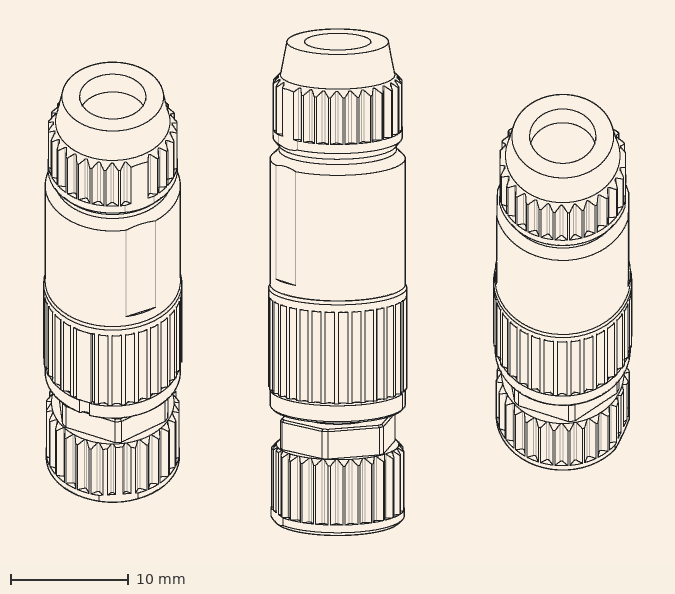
import cadquery as cq
import math

total_height = 42.0
nut_collar_top = 1.0
nut_shoulder = 6.65
nut_top = 9.2
insert_bottom = 9.95
ring_bottom = 11.7
ring_knurl_top = 19.75
ring_top = 20.7
housing_flat_bottom = 21.75
housing_shoulder = 31.75
housing_neck_base = 32.5
cap_bottom = 32.95
cap_collar_bottom = 33.6
cap_knurl_bottom = 34.4
cap_chamfer_bottom = 38.47
cap_shoulder = 39.1

v_groove_count = 28
v_groove_pitch = 360 / v_groove_count
v_groove_depth = 0.55
v_groove_root_fillet = 0.15
tooth_land = 0.13
main_flat_angle = 140.0

nut_radius = 5.65
nut_bottom_chamfer = 0.35
nut_top_chamfer = 0.45
nut_flat_offset = 5.4
nut_flat_angle = 120.0
hex_apothem = 4.5
hex_corner_radius = 5.05
hex_chamfer = 0.15

insert_radius = 5.75
insert_neck_radius = 3.1
insert_bottom_chamfer = 0.15
insert_top_chamfer = 0.2
key_groove_radius = 0.45

ring_radius = 5.9
ring_chamfer = 0.3
ring_groove_count = 32
ring_groove_pitch = 360 / ring_groove_count
ring_groove_radius = 0.45
ring_groove_depth = 0.25
ring_rib_width = 1.4
ring_rib_depth = 0.4

housing_radius = 5.75
housing_neck_radius = 5.0
housing_flat_offset = 5.6

cap_radius = 5.5
cap_base_radius = 5.0
cap_flat_offset = 5.35
cone_base_radius = 4.87
cone_top_radius = 4.33
bore_radius = 2.8
bore_depth = 2.05


def revolved(profile):
    """Solid of revolution about Z from (radius, z) points."""
    return cq.Workplane("XZ").polyline(profile).close().revolve(360, (0, 0, 0), (0, 1, 0))


def opposite_flats(offset, first_angle, bottom, top):
    """Cutter for two parallel flats, each at the given distance from the axis."""
    size = 2 * ring_radius
    block = cq.Workplane("XY").box(size, size, top - bottom, centered=(False, True, False))
    block = block.translate((offset, 0, bottom))
    cutter = cq.Workplane("XY")
    for angle in (first_angle, first_angle + 180):
        cutter = cutter.add(block.rotate((0, 0, 0), (0, 0, 1), angle))
    return cutter.combine()


def cut_v_grooves(body, radius, bottom, top, skipped=()):
    """Cut V-grooves with rounded roots, leaving teeth with narrow lands."""
    root = radius - v_groove_depth
    outer = radius + v_groove_depth
    half_width = 2 * math.pi * radius / v_groove_count - tooth_land
    groove = (
        cq.Workplane("XY").workplane(offset=bottom)
        .polyline([(root, 0), (outer, half_width), (outer, -half_width)]).close()
        .extrude(top - bottom)
        .edges("|Z").edges("<X").fillet(v_groove_root_fillet)
    )
    for i in range(v_groove_count):
        if i not in skipped:
            angle = main_flat_angle + i * v_groove_pitch
            body = body.cut(groove.rotate((0, 0, 0), (0, 0, 1), angle))
    return body


def make_nut():
    """Nut with a knurled skirt and a hexagon on top."""
    skirt = revolved([
        (0, 0),
        (nut_radius - nut_bottom_chamfer, 0),
        (nut_radius, nut_bottom_chamfer),
        (nut_radius, nut_shoulder - nut_top_chamfer),
        (nut_radius - nut_top_chamfer, nut_shoulder),
        (0, nut_shoulder),
    ])
    skirt = cut_v_grooves(skirt, nut_radius, nut_collar_top, nut_shoulder)
    skirt = skirt.cut(opposite_flats(nut_flat_offset, nut_flat_angle, 0, nut_shoulder))
    hex_height = nut_top - nut_shoulder
    across_corners = 2 * hex_apothem / math.cos(math.pi / 6)
    hexagon = cq.Workplane("XY").workplane(offset=nut_shoulder).polygon(6, across_corners).extrude(hex_height)
    corner_limit = cq.Workplane("XY").workplane(offset=nut_shoulder).circle(hex_corner_radius).extrude(hex_height)
    hexagon = hexagon.intersect(corner_limit).faces(">Z").chamfer(hex_chamfer)
    return skirt.union(hexagon)


def make_insert():
    """Flange standing on a neck, with a round keyway on the -Y side."""
    insert = revolved([
        (0, nut_top),
        (insert_neck_radius, nut_top),
        (insert_neck_radius, insert_bottom),
        (insert_radius - insert_bottom_chamfer, insert_bottom),
        (insert_radius, insert_bottom + insert_bottom_chamfer),
        (insert_radius, ring_bottom - insert_top_chamfer),
        (insert_radius - insert_top_chamfer, ring_bottom),
        (0, ring_bottom),
    ])
    keyway = (
        cq.Workplane("XY").workplane(offset=insert_bottom).center(0, -insert_radius)
        .circle(key_groove_radius).extrude(ring_bottom - insert_bottom)
    )
    return insert.cut(keyway)


def make_ring():
    """Coupling ring with round grip grooves and one flat rib on the -Y side."""
    ring = revolved([
        (0, ring_bottom),
        (ring_radius, ring_bottom),
        (ring_radius, ring_top - ring_chamfer),
        (ring_radius - ring_chamfer, ring_top),
        (0, ring_top),
    ])
    knurl_height = ring_knurl_top - ring_bottom
    groove_center = ring_radius - ring_groove_depth + ring_groove_radius
    grooves = (
        cq.Workplane("XY").workplane(offset=ring_bottom)
        .polarArray(groove_center, ring_groove_pitch / 2, 360, ring_groove_count)
        .circle(ring_groove_radius).extrude(knurl_height)
    )
    rib = (
        cq.Workplane("XY")
        .box(ring_rib_width, ring_rib_depth, knurl_height, centered=(True, False, False))
        .translate((0, -ring_radius, ring_bottom))
    )
    return ring.cut(grooves).union(rib)


def make_housing():
    """Cylindrical housing with a neck and two opposite flats."""
    housing = revolved([
        (0, ring_top),
        (housing_radius, ring_top),
        (housing_radius, housing_shoulder),
        (housing_neck_radius, housing_neck_base),
        (housing_neck_radius, cap_bottom),
        (0, cap_bottom),
    ])
    flats = opposite_flats(housing_flat_offset, main_flat_angle, housing_flat_bottom, cap_bottom)
    return housing.cut(flats)


def make_cap():
    """Knurled cable cap with a tapered end and a blind bore."""
    cap = revolved([
        (0, cap_bottom),
        (cap_base_radius, cap_bottom),
        (cap_radius, cap_collar_bottom),
        (cap_radius, cap_chamfer_bottom),
        (cone_base_radius, cap_shoulder),
        (cone_top_radius, total_height),
        (0, total_height),
    ])
    cap = cap.faces(">Z").workplane().circle(bore_radius).cutBlind(-bore_depth)
    on_flats = (0, v_groove_count // 2)
    cap = cut_v_grooves(cap, cap_radius, cap_knurl_bottom, cap_shoulder, on_flats)
    return cap.cut(opposite_flats(cap_flat_offset, main_flat_angle, cap_bottom, cap_shoulder))


nut = make_nut()
insert = make_insert()
ring = make_ring()
housing = make_housing()
cap = make_cap()

result = cq.Compound.makeCompound([nut.val(), insert.val(), ring.val(), housing.val(), cap.val()])